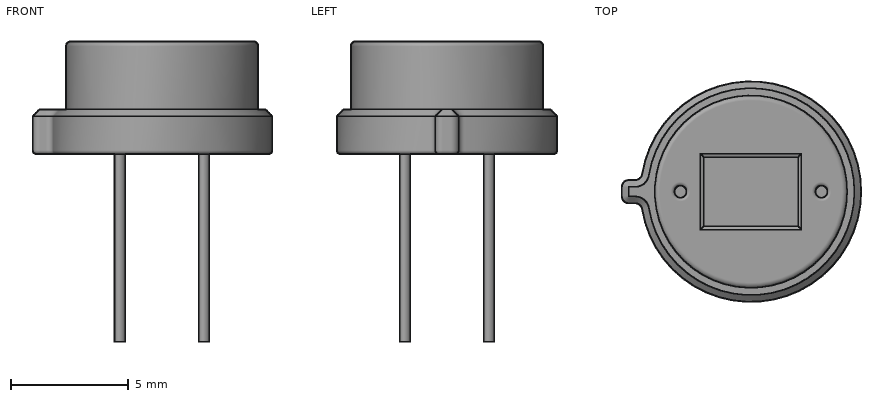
import cadquery as cq
import math

pin_length = 8.0
flange_height = 1.91
total_height = 12.8
flange_base = pin_length
flange_top = flange_base + flange_height
cap_height = total_height - flange_top

flange_radius = 4.7
flange_chamfer = 0.3
flange_base_fillet = 0.15
cap_radius = 4.1
cap_fillet = 0.2

tab_reach = 5.5
tab_width = 1.0
tab_corner_radius = 0.31
tab_root_radius = 0.3

pin_radius = 0.23
pin_offset = 1.79
pin_embed = 0.13

window_length = 4.3
window_width = 3.23
window_inset = 0.14
window_depth = 0.05

dimple_spacing = 6.0
dimple_mouth_radius = 0.41
dimple_floor_radius = 0.25
dimple_depth = dimple_mouth_radius - dimple_floor_radius


def make_flange():
    """Disc and tab, with concave blends where the tab meets the disc."""
    half_width = tab_width / 2
    tip_x = -tab_reach
    corner_x = tip_x + tab_corner_radius
    corner_y = half_width - tab_corner_radius
    corner_mid = tab_corner_radius * math.sqrt(0.5)

    blend_y = half_width + tab_root_radius
    blend_distance = flange_radius + tab_root_radius
    blend_x = -math.sqrt(blend_distance**2 - blend_y**2)
    rim_x = blend_x * flange_radius / blend_distance
    rim_y = blend_y * flange_radius / blend_distance
    blend_mid_angle = (math.atan2(-blend_y, -blend_x) - math.pi / 2) / 2
    blend_mid_x = blend_x + tab_root_radius * math.cos(blend_mid_angle)
    blend_mid_y = blend_y + tab_root_radius * math.sin(blend_mid_angle)

    flange = (
        cq.Workplane("XY", origin=(0, 0, flange_base))
        .moveTo(rim_x, rim_y)
        .threePointArc((flange_radius, 0), (rim_x, -rim_y))
        .threePointArc((blend_mid_x, -blend_mid_y), (blend_x, -half_width))
        .lineTo(corner_x, -half_width)
        .threePointArc((corner_x - corner_mid, -corner_y - corner_mid), (tip_x, -corner_y))
        .lineTo(tip_x, corner_y)
        .threePointArc((corner_x - corner_mid, corner_y + corner_mid), (corner_x, half_width))
        .lineTo(blend_x, half_width)
        .threePointArc((blend_mid_x, blend_mid_y), (rim_x, rim_y))
        .close()
        .extrude(flange_height)
    )
    flange = flange.faces(">Z").edges().chamfer(flange_chamfer)
    return flange.faces("<Z").edges().fillet(flange_base_fillet)


def make_cap():
    cap = cq.Workplane("XY", origin=(0, 0, flange_top)).circle(cap_radius).extrude(cap_height)
    return cap.faces(">Z").edges().fillet(cap_fillet)


def make_pins():
    """Three pins on a square pattern, leaving the +X +Y corner empty."""
    positions = [(-pin_offset, pin_offset), (-pin_offset, -pin_offset), (pin_offset, -pin_offset)]
    return (
        cq.Workplane("XY")
        .pushPoints(positions)
        .circle(pin_radius)
        .extrude(pin_length + pin_embed)
    )


def make_window_cutter():
    return (
        cq.Workplane("XY", origin=(0, 0, total_height))
        .rect(window_length, window_width)
        .workplane(offset=-window_depth)
        .rect(window_length - 2 * window_inset, window_width - 2 * window_inset)
        .loft(ruled=True)
    )


def make_dimple_cutter(center_x):
    """Revolved cutter whose convex rim runs from the cap top to the dimple floor."""
    rim_mid = dimple_depth * math.sqrt(0.5)
    floor_z = -dimple_depth
    return (
        cq.Workplane("XZ", origin=(center_x, 0, total_height))
        .lineTo(dimple_mouth_radius, 0)
        .threePointArc(
            (dimple_mouth_radius - rim_mid, floor_z + rim_mid),
            (dimple_floor_radius, floor_z),
        )
        .lineTo(0, floor_z)
        .close()
        .revolve(360, (0, 0, 0), (0, 1, 0))
    )


result = make_flange().union(make_cap()).union(make_pins())
result = result.cut(make_window_cutter())
for side in (-1, 1):
    result = result.cut(make_dimple_cutter(side * dimple_spacing / 2))